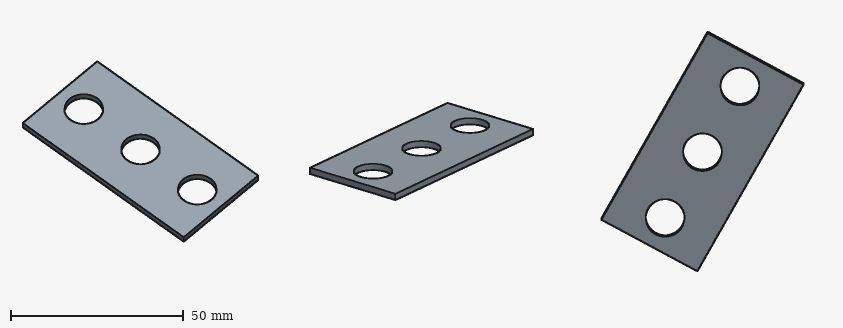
import cadquery as cq

length = 63.5
width = 31.75
thickness = 2.0

hole_diameter = 11.18
hole_count = 3
hole_pitch = 2 * hole_diameter


def make_plate():
    """Flat rectangular plate centred on the origin."""
    return cq.Workplane("XY").box(length, width, thickness)


def cut_hole_row(plate):
    """Cut the evenly spaced, centred row of through holes."""
    return (
        plate.faces(">Z")
        .workplane()
        .rarray(hole_pitch, width, hole_count, 1)
        .hole(hole_diameter)
    )


result = cut_hole_row(make_plate())